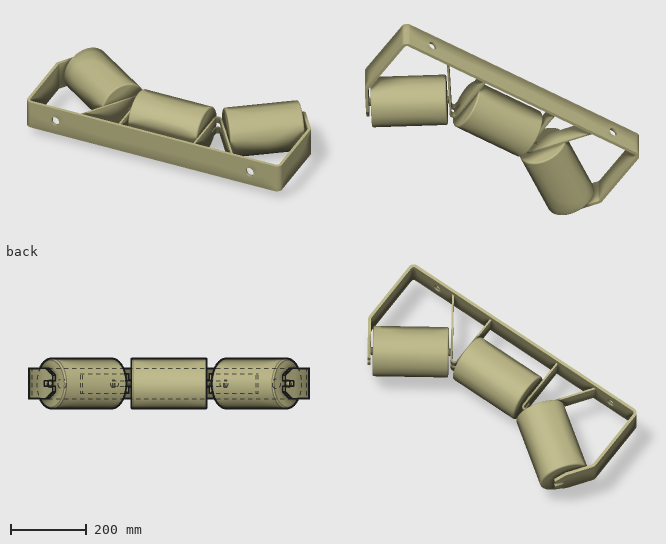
import cadquery as cq
import math

roller_diameter = 133.0
roller_length = 200.0
rim_radius = 4.5
middle_roller_y = 126.0
side_roller_x = 231.0
side_roller_y = 198.0
tilt = 35.0

shaft_diameter = 20.0
shaft_flats = 15.0
shoulder_length = 3.0
flats_clearance = 3.0

frame_length = 740.0
strap_thickness = 8.0
strap_width = 80.0
strap_bend_radius = 15.5
tip_reach = 30.0
tip_width = 44.5
taper_length = 31.0
mount_slot_x = 283.0
mount_slot_width = 21.5
mount_slot_height = 26.0
mount_slot_angle = 90.0

bracket_thickness = 5.0
bracket_width = 50.0
bracket_bend_radius = 11.0
bracket_slot_reach = 89.0

axis_x = math.cos(math.radians(tilt))
axis_y = math.sin(math.radians(tilt))
plate_x = -axis_y
plate_y = axis_x

shoulder_face = roller_length / 2 + shoulder_length
support_face = shoulder_face + flats_clearance
strap_line = support_face + strap_thickness / 2
bracket_line = support_face + bracket_thickness / 2


def side_point(along_axis, along_plate):
    """XY point at the given distances from the right-hand side roller's centre."""
    x = side_roller_x + along_axis * axis_x + along_plate * plate_x
    y = side_roller_y + along_axis * axis_y + along_plate * plate_y
    return (x, y)


def reach_to_x(along_axis, x):
    """Distance along a support plate at which its centre line reaches the given X."""
    return (x - side_roller_x - along_axis * axis_x) / plate_x


def reach_to_y(along_axis, y):
    """Distance along a support plate at which its centre line reaches the given Y."""
    return (y - side_roller_y - along_axis * axis_y) / plate_y


def mirrored(points):
    """XY points mirrored to the other side of the YZ plane."""
    return [(-x, y) for x, y in points]


def bent_bar(corners, thickness, width, outer_radius):
    """Flat bar whose centre line follows the XY corners, with every inner corner rounded."""
    path = cq.Wire.makePolygon([cq.Vector(x, y, 0) for x, y in corners])
    path = path.fillet2D(outer_radius - thickness / 2, path.Vertices()[1:-1])
    start_plane = cq.Plane(origin=path.startPoint(), xDir=(0, 0, 1), normal=path.tangentAt(0))
    return cq.Workplane(start_plane).rect(width, thickness).sweep(cq.Workplane(path))


def flatted_end(start, length):
    """Shaft end along +X, beginning at the given X, with flats facing +Z and -Z."""
    end = cq.Workplane("YZ", origin=(start, 0, 0)).circle(shaft_diameter / 2).extrude(length)
    flats = cq.Workplane("YZ", origin=(start, 0, 0)).rect(shaft_diameter, shaft_flats).extrude(length)
    return end.intersect(flats)


def cylinder(diameter, length):
    """Cylinder along X, centred on the origin."""
    return cq.Workplane("YZ", origin=(-length / 2, 0, 0)).circle(diameter / 2).extrude(length)


def roller(right_end, left_end):
    """Roller along X at the origin; its flatted ends enter their plates by the given lengths."""
    drum = cylinder(roller_diameter, roller_length).faces("<X or >X").edges().fillet(rim_radius)
    shaft = cylinder(shaft_diameter, 2 * shoulder_face)
    right = flatted_end(shoulder_face, flats_clearance + right_end)
    left = flatted_end(shoulder_face, flats_clearance + left_end).mirror("YZ")
    return drum.union(shaft).union(right).union(left)


def shaft_slot(depth, reach):
    """Cutter along +X from a support plate's face, running from the shaft towards +Y."""
    channel = cq.Workplane("XY").box(depth, reach, shaft_flats, centered=(False, False, True))
    return channel.translate((support_face, 0, 0)).union(flatted_end(support_face, depth))


def to_right_side(body):
    """Move a body built round the X axis onto the right-hand side roller's axis."""
    turned = body.rotate((0, 0, 0), (0, 0, 1), tilt)
    return turned.translate((side_roller_x, side_roller_y, 0))


def to_middle(body):
    """Move a body built round the X axis onto the middle roller's axis."""
    return body.translate((0, middle_roller_y, 0))


def side_roller(side):
    """Side roller on the right (1) or the left (-1)."""
    body = to_right_side(roller(right_end=strap_thickness, left_end=bracket_thickness))
    if side < 0:
        body = body.mirror("YZ")
    return body


def cut_both_sides(body, cutter):
    """Cut a right-hand cutter and its mirror image on the left from the body."""
    return body.cut(cutter).cut(cutter.mirror("YZ"))


def strap():
    """Base, two upright sides and two inclined tips in one bent bar."""
    side_x = frame_length / 2 - strap_thickness / 2
    base_y = strap_thickness / 2
    right_half = [
        (side_x, base_y),
        side_point(strap_line, reach_to_x(strap_line, side_x)),
        side_point(strap_line, tip_reach),
    ]
    corners = mirrored(right_half)[::-1] + right_half
    bar = bent_bar(corners, strap_thickness, strap_width, strap_bend_radius)

    bevel_height = (strap_width - tip_width) / 2
    for z_side in (1, -1):
        outer_z = z_side * strap_width / 2
        bevel = (
            cq.Workplane("YZ", origin=(support_face, 0, 0))
            .moveTo(tip_reach, outer_z)
            .lineTo(tip_reach - taper_length, outer_z)
            .lineTo(tip_reach, outer_z - z_side * bevel_height)
            .close()
            .extrude(strap_thickness)
        )
        bar = cut_both_sides(bar, to_right_side(bevel))

    bar = cut_both_sides(bar, to_right_side(shaft_slot(strap_thickness, tip_reach)))

    mounts = (
        cq.Workplane("XZ")
        .pushPoints([(mount_slot_x, 0), (-mount_slot_x, 0)])
        .slot2D(mount_slot_height, mount_slot_width, mount_slot_angle)
        .extrude(-strap_thickness)
    )
    return bar.cut(mounts)


def bracket():
    """Right-hand bracket, its upright leg by the middle roller and its inclined leg by the side one."""
    corners = [
        (bracket_line, strap_thickness),
        side_point(-bracket_line, reach_to_x(-bracket_line, bracket_line)),
        side_point(-bracket_line, reach_to_y(-bracket_line, 0)),
    ]
    bar = bent_bar(corners, bracket_thickness, bracket_width, bracket_bend_radius)

    trim = cq.Workplane("XY").box(frame_length, 2 * strap_thickness, strap_width)
    bar = bar.cut(trim)

    bend_span = 2 * bracket_bend_radius
    upright_slot = to_middle(shaft_slot(bend_span, bracket_slot_reach))
    inclined_slot = to_right_side(shaft_slot(bracket_thickness, bracket_slot_reach).mirror("YZ"))
    return bar.cut(upright_slot).cut(inclined_slot)


def frame():
    """Strap, brackets and the middle roller seated in the bracket slots, all in one piece."""
    right_bracket = bracket()
    middle_roller = to_middle(roller(right_end=bracket_thickness, left_end=bracket_thickness))
    return strap().union(right_bracket).union(right_bracket.mirror("YZ")).union(middle_roller)


roller_frame = frame().solids().val()
side_rollers = [side_roller(side).solids().val() for side in (1, -1)]

result = cq.Compound.makeCompound([roller_frame, *side_rollers])